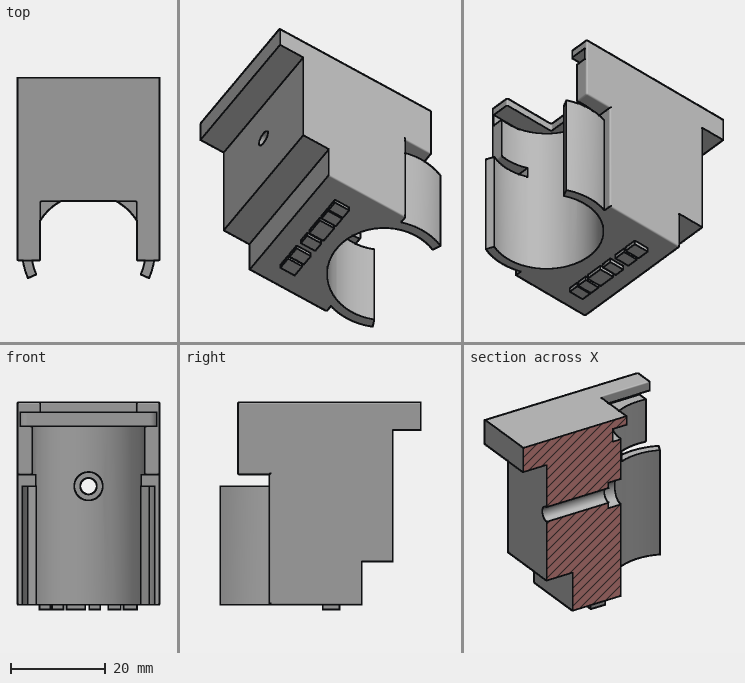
import cadquery as cq
import math

width = 30.0
total_length = 42.3
total_height = 43.75
pad_height = 1.0
body_height = total_height - pad_height

bore_radius = 12.05
clip_radius = 14.0
clip_tip_angle = 24.2
clip_height = 25.02
clip_tip_y = -clip_radius * math.sin(math.radians(clip_tip_angle))

back_y = clip_tip_y + total_length
rear_overhang = 5.9
lower_step_depth = 6.5
lower_step_z = 9.15
front_y = -2.0
recess_y = 4.6
recess_z = 27.48
edge_radius = 0.4

margin = 0.05

plate_thickness = 2.2
slot_width = 20.4
slot_back_y = 10.5
slot_corner_radius = 0.4
slot_edge_radius = 0.3
cavity_floor_z = 37.62
cavity_width = 28.8
cavity_back_y = clip_radius
cavity_corner_radius = 1.45
plate_bottom_z = body_height - plate_thickness

hole_diameter = 3.4
counterbore_diameter = 6.0
counterbore_depth = 3.05
hole_z = clip_height

pads = [(-9.15, 2.35), (-6.48, 2.45), (-2.65, 4.02), (1.3, 2.35), (5.45, 2.7), (8.8, 2.9)]
pad_front_y = 15.85
pad_back_y = 19.45


def box(x_size, y_start, y_end, z_start, z_end):
    """Block centred on X = 0 between the given Y and Z limits."""
    return cq.Workplane("XY").box(
        x_size, y_end - y_start, z_end - z_start, centered=(True, False, False)
    ).translate((0, y_start, z_start))


def make_body():
    """Stepped block with rounded side edges and rounded upper front edges."""
    rear_y = back_y - rear_overhang
    lower_rear_y = rear_y - lower_step_depth
    outline = [
        (front_y, body_height),
        (back_y, body_height),
        (back_y, body_height - rear_overhang),
        (rear_y, body_height - rear_overhang),
        (rear_y, lower_step_z),
        (lower_rear_y, lower_step_z),
        (lower_rear_y, 0),
        (recess_y, 0),
        (recess_y, recess_z),
        (front_y, recess_z),
    ]
    body = cq.Workplane("YZ").polyline(outline).close().extrude(width / 2, both=True)

    top_edges = body.faces(">Z").edges("|Y or <Y")
    front_edges = body.faces("<Y").edges("|Z or <Z")
    bottom_edges = body.faces("<Z").edges("|Y")
    recess_region = cq.selectors.BoxSelector(
        (-width, front_y - margin, margin), (width, recess_y + margin, recess_z + margin)
    )
    recess_edges = body.faces("<X or >X").edges(recess_region)
    return top_edges.add(front_edges).add(bottom_edges).add(recess_edges).fillet(edge_radius)


def make_clips():
    """Ring segments on both sides, cut off radially at the tips."""
    ring = cq.Workplane("XY").circle(clip_radius).circle(bore_radius).extrude(clip_height)
    reach = 2 * clip_radius
    drop = reach * math.tan(math.radians(clip_tip_angle))
    front_gap = (
        cq.Workplane("XY")
        .polyline([(0, 0), (reach, -drop), (reach, -reach), (-reach, -reach), (-reach, -drop)])
        .close()
        .extrude(clip_height)
    )
    rear_half = box(2 * reach, recess_y + edge_radius, reach, 0, clip_height)
    return ring.cut(front_gap).cut(rear_half)


def make_cavity():
    return box(cavity_width, front_y, cavity_back_y, cavity_floor_z, plate_bottom_z).edges(
        "|Z and >Y"
    ).fillet(cavity_corner_radius)


def make_slot():
    return box(slot_width, front_y, slot_back_y, plate_bottom_z, body_height).edges(
        "|Z and >Y"
    ).fillet(slot_corner_radius)


def make_mounting_hole():
    axis = cq.Workplane("XZ", origin=(0, 0, hole_z))
    hole = axis.circle(hole_diameter / 2).extrude(-back_y)
    counterbore = axis.circle(counterbore_diameter / 2).extrude(-bore_radius - counterbore_depth)
    return hole.union(counterbore)


def make_bore():
    return cq.Workplane("XY").circle(bore_radius).extrude(cavity_floor_z)


def round_slot_rim(part):
    """Round the top edges of the cover slot."""
    rim = cq.selectors.BoxSelector(
        (-slot_width / 2 - margin, front_y + margin, body_height - margin),
        (slot_width / 2 + margin, slot_back_y + margin, body_height + margin),
    )
    return part.edges(rim).fillet(slot_edge_radius)


result = make_body().union(make_clips())
for cutter in (make_bore(), make_cavity(), make_slot(), make_mounting_hole()):
    result = result.cut(cutter)
result = round_slot_rim(result)

for pad_x, pad_width in pads:
    pad = box(pad_width, pad_front_y, pad_back_y, -pad_height, 0)
    result = result.union(pad.translate((pad_x, 0, 0)))